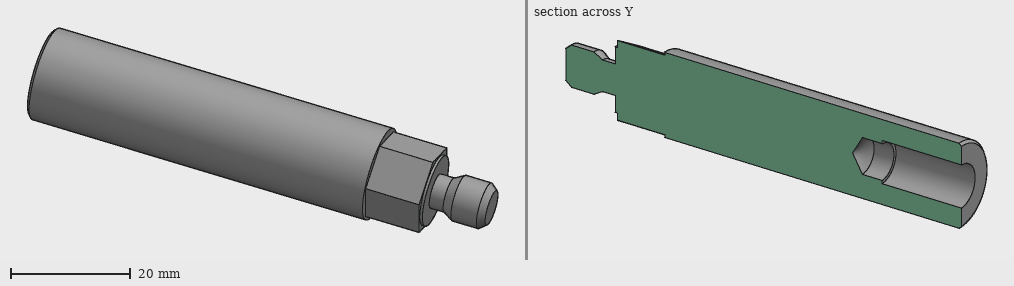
import cadquery as cq
import math

total_length = 80.0
body_length = 60.0
shoulder_end = 70.0
collar_length = 0.5
neck_length = 2.5
neck_taper_length = 1.8
stud_chamfer_length = 1.2

body_diameter = 16.0
body_chamfer = 0.5
hex_across_flats = 13.0
collar_diameter = 12.3
neck_diameter = 6.0
stud_diameter = 8.0
stud_tip_diameter = 6.0

thread_bore_diameter = 8.0
thread_bore_depth = 16.0
drill_diameter = 6.8
drill_depth = 20.0
drill_point_angle = 120.0

hex_length = shoulder_end - collar_length - body_length
hex_across_corners = hex_across_flats / math.cos(math.radians(30))


def revolve_about_x(points):
    """Revolve a closed (x, radius) outline about the part axis."""
    return cq.Workplane("XY").polyline(points).close().revolve(360, (0, 0), (1, 0))


def make_body():
    """Cylindrical body with a chamfered open end."""
    body = cq.Workplane("YZ").circle(body_diameter / 2).extrude(body_length)
    return body.faces("<X").edges().chamfer(body_chamfer)


def make_hexagon():
    """Wrench hexagon with corners at the top and bottom."""
    return (
        cq.Workplane("YZ", origin=(body_length, 0, 0))
        .transformed(rotate=(0, 0, 90))
        .polygon(6, hex_across_corners)
        .extrude(hex_length)
    )


def make_stud():
    """Collar, undercut neck with a conical run-out, and chamfered stud."""
    collar_start = shoulder_end - collar_length
    neck_end = shoulder_end + neck_length
    return revolve_about_x([
        (collar_start, 0),
        (collar_start, collar_diameter / 2),
        (shoulder_end, collar_diameter / 2),
        (shoulder_end, neck_diameter / 2),
        (neck_end, neck_diameter / 2),
        (neck_end + neck_taper_length, stud_diameter / 2),
        (total_length - stud_chamfer_length, stud_diameter / 2),
        (total_length, stud_tip_diameter / 2),
        (total_length, 0),
    ])


def make_bore():
    """Stepped blind bore entering from the open end."""
    drill_radius = drill_diameter / 2
    point_length = drill_radius / math.tan(math.radians(drill_point_angle / 2))
    return revolve_about_x([
        (0, 0),
        (0, thread_bore_diameter / 2),
        (thread_bore_depth, thread_bore_diameter / 2),
        (thread_bore_depth, drill_radius),
        (drill_depth, drill_radius),
        (drill_depth + point_length, 0),
    ])


result = make_body().union(make_hexagon()).union(make_stud()).cut(make_bore())